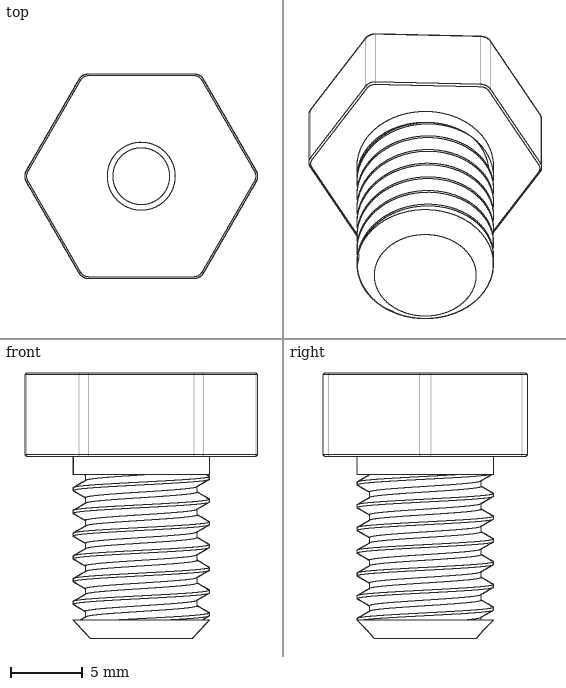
import cadquery as cq
import math

TOTAL_HEIGHT = 18.54
TIP_HEIGHT = 1.3
COLLAR_BOTTOM = 11.44
HEAD_BOTTOM = 12.7

HEAD_ACROSS_FLATS = 14.3
HEAD_CORNER_RADIUS = 0.8
HEAD_CHAMFER = 0.13

HOLE_RADIUS = 3.97 / 2
HOLE_MOUTH_CHAMFER = 0.39
HOLE_DEPTH = 5.56
DRILL_POINT_ANGLE = 118.0

SHANK_RADIUS = 9.53 / 2
CORE_RADIUS = 7.8 / 2
TIP_END_RADIUS = 3.56
PITCH = 1.587
CREST_WIDTH = PITCH / 8
FLANK_SLOPE = math.tan(math.radians(30))
THREAD_LENGTH = COLLAR_BOTTOM - TIP_HEIGHT


def make_head():
    """Hexagonal prism with rounded corners and chamfered top and bottom rims."""
    across_corners = HEAD_ACROSS_FLATS / math.cos(math.radians(30))
    return (
        cq.Workplane("XY", origin=(0, 0, HEAD_BOTTOM))
        .polygon(6, across_corners)
        .extrude(TOTAL_HEIGHT - HEAD_BOTTOM)
        .edges("|Z")
        .fillet(HEAD_CORNER_RADIUS)
        .faces("<Z or >Z")
        .edges()
        .chamfer(HEAD_CHAMFER)
    )


def make_shank():
    """Turned collar, plain core and conical tip below the head."""
    return (
        cq.Workplane("XZ")
        .moveTo(0, 0)
        .lineTo(TIP_END_RADIUS, 0)
        .lineTo(SHANK_RADIUS, TIP_HEIGHT)
        .lineTo(CORE_RADIUS, TIP_HEIGHT)
        .lineTo(CORE_RADIUS, COLLAR_BOTTOM)
        .lineTo(SHANK_RADIUS, COLLAR_BOTTOM)
        .lineTo(SHANK_RADIUS, HEAD_BOTTOM)
        .lineTo(0, HEAD_BOTTOM)
        .close()
        .revolve(360, (0, 0), (0, 1))
    )


def make_hole_cutter():
    """Shape of the blind hole, including its countersink and conical bottom."""
    hole_bottom = TOTAL_HEIGHT - HOLE_DEPTH
    point_height = HOLE_RADIUS / math.tan(math.radians(DRILL_POINT_ANGLE / 2))
    return (
        cq.Workplane("XZ")
        .moveTo(0, hole_bottom - point_height)
        .lineTo(HOLE_RADIUS, hole_bottom)
        .lineTo(HOLE_RADIUS, TOTAL_HEIGHT - HOLE_MOUTH_CHAMFER)
        .lineTo(HOLE_RADIUS + HOLE_MOUTH_CHAMFER, TOTAL_HEIGHT)
        .lineTo(0, TOTAL_HEIGHT)
        .close()
        .revolve(360, (0, 0), (0, 1))
    )


def make_bolt():
    """Head, collar, core and tip as one solid with the blind hole."""
    return make_head().union(make_shank()).cut(make_hole_cutter())


def make_thread():
    """Helical ridge around the core, cut flat against the tip and the collar."""
    crest_half = CREST_WIDTH / 2
    root_half = crest_half + (SHANK_RADIUS - CORE_RADIUS) * FLANK_SLOPE

    start_height = TIP_HEIGHT - PITCH
    helix = cq.Wire.makeHelix(PITCH, THREAD_LENGTH + 2 * PITCH, CORE_RADIUS)
    ridge = (
        cq.Workplane("XZ")
        .moveTo(CORE_RADIUS, -root_half)
        .lineTo(SHANK_RADIUS, -crest_half)
        .lineTo(SHANK_RADIUS, crest_half)
        .lineTo(CORE_RADIUS, root_half)
        .close()
        .sweep(cq.Workplane(helix), isFrenet=True)
        .rotate((0, 0, 0), (0, 0, 1), -90)
        .translate((0, 0, start_height))
    )
    threaded_span = (
        cq.Workplane("XY", origin=(0, 0, TIP_HEIGHT))
        .circle(SHANK_RADIUS + PITCH)
        .extrude(THREAD_LENGTH)
    )
    return ridge.intersect(threaded_span)


bolt = make_bolt()
thread = make_thread()
result = cq.Compound.makeCompound([*bolt.solids().vals(), *thread.solids().vals()])